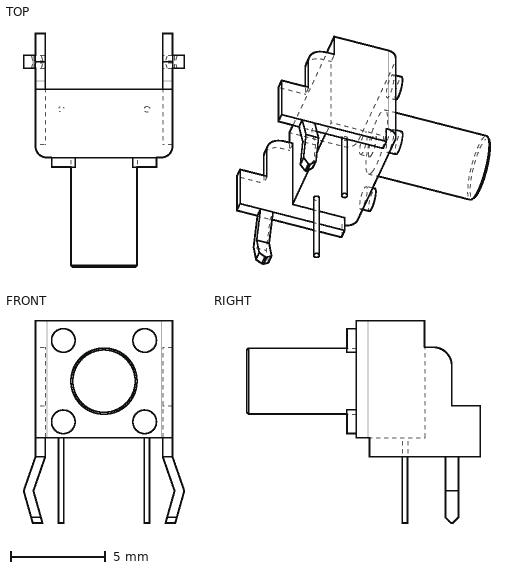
import cadquery as cq


housing_width = 7.25
housing_depth = 3.62
housing_top = 3.2
housing_bottom = -3.0
front_corner_radius = 0.6

button_diameter = 3.5
button_length = 5.79
button_chamfer = 0.1

stud_diameter = 1.25
stud_height = 0.5
stud_offset = 2.15

plate_thickness = 0.525
plate_front = 0.7
plate_middle = 5.06
plate_back = 6.56
plate_drop = 1.0
plate_step_height = 2.7
plate_top_setback = 1.4
plate_corner_radius = 1.0
plate_bottom = housing_bottom - plate_drop
plate_step = plate_bottom + plate_step_height
plate_top = housing_top - plate_top_setback

leg_length = 3.5
leg_width = 0.7
leg_setback = 1.5
leg_center = plate_back - leg_setback
leg_knee_drop = 1.8
leg_knee_reach = 4.25
leg_foot_reach = 3.77
leg_tip_chamfer = 0.3
leg_bottom = plate_bottom - leg_length

pin_diameter = 0.3
pin_offset = 2.265
pin_center = 2.57

side_reach = housing_width / 2


def make_housing():
    height = housing_top - housing_bottom
    block = cq.Workplane("XY").box(housing_width, housing_depth, height, centered=(True, False, False))
    block = block.edges("|Z and <Y").fillet(front_corner_radius)
    return block.translate((0, 0, housing_bottom))


def make_button():
    button = cq.Workplane("XZ").circle(button_diameter / 2).extrude(button_length)
    return button.faces("<Y").chamfer(button_chamfer)


def make_studs():
    places = [(x, z) for x in (-stud_offset, stud_offset) for z in (-stud_offset, stud_offset)]
    return cq.Workplane("XZ").pushPoints(places).circle(stud_diameter / 2).extrude(stud_height)


def make_plate():
    """Bracket plate on the +X side."""
    plate = (
        cq.Workplane("YZ")
        .workplane(offset=side_reach - plate_thickness)
        .moveTo(plate_front, plate_bottom)
        .lineTo(plate_back, plate_bottom)
        .lineTo(plate_back, plate_step)
        .lineTo(plate_middle, plate_step)
        .lineTo(plate_middle, plate_top - plate_corner_radius)
        .radiusArc((plate_middle - plate_corner_radius, plate_top), -plate_corner_radius)
        .lineTo(plate_front, plate_top)
        .close()
        .extrude(plate_thickness)
    )
    return plate


def make_leg():
    """Bent snap-in leg with a tapered tip on the +X side."""
    knee_height = plate_bottom - leg_knee_drop
    leg = (
        cq.Workplane("XZ")
        .workplane(offset=-leg_center)
        .moveTo(side_reach, plate_bottom)
        .lineTo(leg_knee_reach, knee_height)
        .lineTo(leg_foot_reach, leg_bottom)
        .lineTo(leg_foot_reach - plate_thickness, leg_bottom)
        .lineTo(leg_knee_reach - plate_thickness, knee_height)
        .lineTo(side_reach - plate_thickness, plate_bottom)
        .close()
        .extrude(leg_width / 2, both=True)
    )
    half_width = leg_width / 2
    half_tip = half_width - leg_tip_chamfer
    taper = (
        cq.Workplane("YZ")
        .moveTo(leg_center - half_width, plate_bottom)
        .lineTo(leg_center - half_width, leg_bottom + leg_tip_chamfer)
        .lineTo(leg_center - half_tip, leg_bottom)
        .lineTo(leg_center + half_tip, leg_bottom)
        .lineTo(leg_center + half_width, leg_bottom + leg_tip_chamfer)
        .lineTo(leg_center + half_width, plate_bottom)
        .close()
        .extrude(leg_knee_reach)
    )
    return leg.intersect(taper)


def make_pins():
    pin_length = housing_bottom - leg_bottom
    pin_places = [(-pin_offset, pin_center), (pin_offset, pin_center)]
    pins = cq.Workplane("XY").workplane(offset=leg_bottom).pushPoints(pin_places)
    return pins.circle(pin_diameter / 2).extrude(pin_length)


side_bracket = make_plate().union(make_leg())
result = (
    make_housing()
    .union(make_button())
    .union(make_studs())
    .union(side_bracket)
    .union(side_bracket.mirror("YZ"))
    .union(make_pins())
)